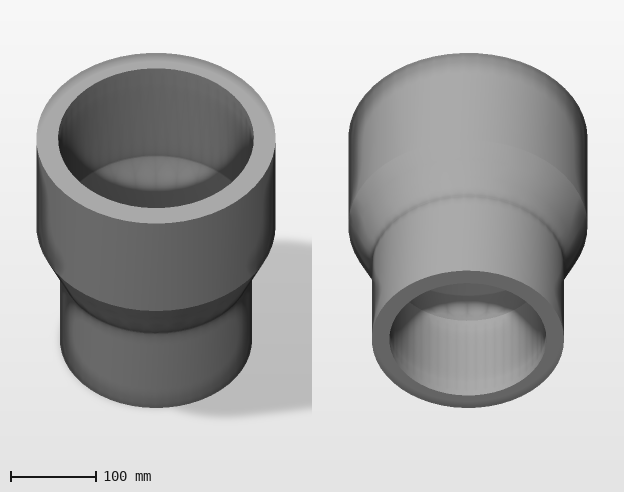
import cadquery as cq

total_height = 336.0
large_diameter = 280.0
large_wall = 25.4
large_length = 146.0
small_diameter = 225.0
small_wall = 20.5
small_length = 125.0
corner_fillet = 5.0

large_radius = large_diameter / 2
small_radius = small_diameter / 2
large_bore_radius = large_radius - large_wall
small_bore_radius = small_radius - small_wall
cone_bottom = small_length
cone_top = total_height - large_length


def stepped_body(small_end_radius, large_end_radius):
    """Solid of revolution about Z: small cylinder, cone, large cylinder."""
    return (
        cq.Workplane("XZ")
        .lineTo(-small_end_radius, 0)
        .lineTo(-small_end_radius, cone_bottom)
        .lineTo(-large_end_radius, cone_top)
        .lineTo(-large_end_radius, total_height)
        .lineTo(0, total_height)
        .close()
        .revolve(360, (0, 0, 0), (0, 1, 0))
    )


def fillet_ring(body, level):
    """Round the circular edge of a body of revolution at the given height."""
    ring = cq.selectors.BoxSelector(
        (-large_diameter, -large_diameter, level - corner_fillet),
        (large_diameter, large_diameter, level + corner_fillet),
        boundingbox=True,
    )
    return body.edges(ring).fillet(corner_fillet)


outer_body = fillet_ring(stepped_body(small_radius, large_radius), cone_bottom)
bore = fillet_ring(stepped_body(small_bore_radius, large_bore_radius), cone_top)

result = outer_body.cut(bore)